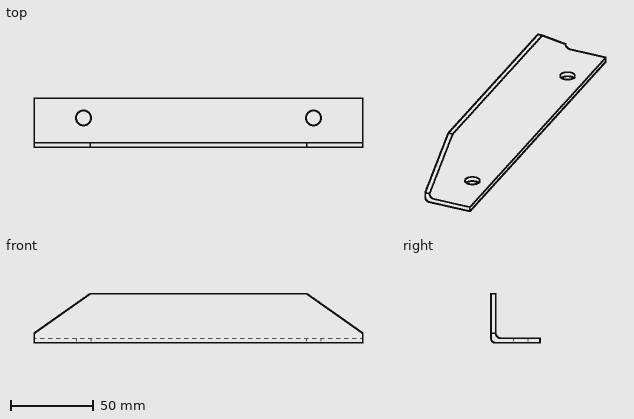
import cadquery as cq

length = 200.0
leg = 30.0
thickness = 3.0
inner_radius = 3.0
outer_radius = 3.0
end_height = thickness + inner_radius
slope_run = 34.0
hole_diameter = 9.0
hole_inset = 30.0
hole_spacing = length - 2 * hole_inset
hole_y = 18.0


def angle_bar():
    """L-section with a bend along X, its outer corner on the X axis."""
    section = (
        cq.Workplane("YZ")
        .polyline([
            (0, 0),
            (leg, 0),
            (leg, thickness),
            (thickness, thickness),
            (thickness, leg),
            (0, leg),
        ])
        .close()
        .extrude(length)
    )
    bend_edges = section.edges("|X")
    inner = cq.selectors.NearestToPointSelector((length / 2, thickness, thickness))
    outer = cq.selectors.NearestToPointSelector((length / 2, 0, 0))
    rounded = section.newObject(bend_edges.edges(inner).vals()).fillet(inner_radius)
    return rounded.edges("|X").edges(outer).fillet(outer_radius)


def sloped_end_outline():
    """Prism that keeps the upright leg between its two sloped ends."""
    return (
        cq.Workplane("XZ")
        .polyline([
            (0, 0),
            (length, 0),
            (length, end_height),
            (length - slope_run, leg),
            (slope_run, leg),
            (0, end_height),
        ])
        .close()
        .extrude(-leg)
    )


def mounting_holes():
    """Two through holes in the flat leg."""
    return (
        cq.Workplane("XY")
        .pushPoints([(hole_inset, hole_y), (hole_inset + hole_spacing, hole_y)])
        .circle(hole_diameter / 2)
        .extrude(leg)
    )


result = angle_bar().intersect(sloped_end_outline()).cut(mounting_holes())